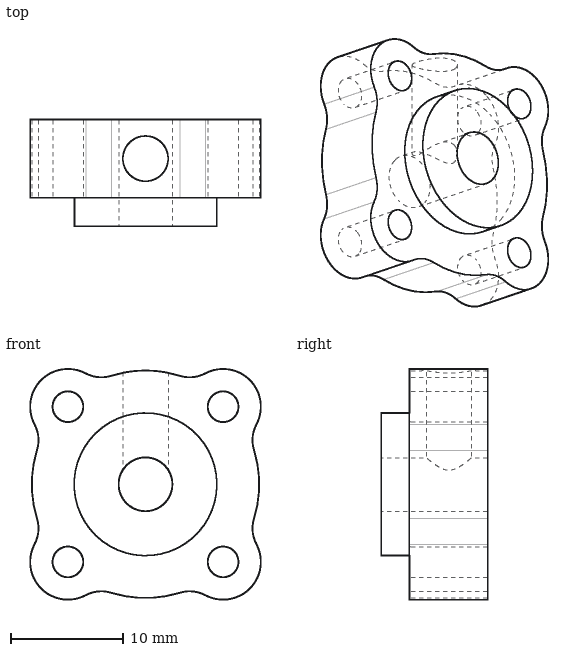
import cadquery as cq
import math

overall_width = 20.57
body_thickness = 7.0
hub_length = 2.53
hub_diameter = 12.71
bore_diameter = 4.77
body_radius = 10.15
blend_radius = 2.98
lobe_radius = 3.37
lobe_hole_diameter = 2.72
set_screw_diameter = 4.03

lobe_offset = overall_width / 2 - lobe_radius
lobe_distance = lobe_offset * math.sqrt(2)
lobe_angles = [45, 135, 225, 315]
lobe_centers = [(x, z) for x in (-lobe_offset, lobe_offset) for z in (-lobe_offset, lobe_offset)]

blend_distance = body_radius + blend_radius
blend_to_lobe = lobe_radius + blend_radius
blend_spread = math.degrees(math.acos(
    (blend_distance**2 + lobe_distance**2 - blend_to_lobe**2) / (2 * blend_distance * lobe_distance)
))


def polar(radius, angle):
    """Point at a radius and an angle in degrees about the bore axis."""
    return (radius * math.cos(math.radians(angle)), radius * math.sin(math.radians(angle)))


def toward(start, target, distance):
    """Point at a distance from start in the direction of target."""
    ratio = distance / math.dist(start, target)
    return tuple(s + (t - s) * ratio for s, t in zip(start, target))


def blend_points(lobe_angle, side):
    """Body end, middle and lobe end of the blend on one side (-1 or 1) of a lobe."""
    body_angle = lobe_angle + side * blend_spread
    center = polar(blend_distance, body_angle)
    body_end = polar(body_radius, body_angle)
    lobe_end = toward(center, polar(lobe_distance, lobe_angle), blend_radius)
    chord_middle = tuple((b + e) / 2 for b, e in zip(body_end, lobe_end))
    return body_end, toward(center, chord_middle, blend_radius), lobe_end


def front_plane():
    """Sketch plane on the hub side of the body, with its normal toward -Y."""
    return cq.Workplane("XZ")


def make_body():
    """Scalloped plate: lobe, blend, bulged side and blend, repeated four times."""
    outline = front_plane().moveTo(*blend_points(lobe_angles[0], -1)[0])
    for angle in lobe_angles:
        _, blend_in, lobe_start = blend_points(angle, -1)
        side_start, blend_out, lobe_end = blend_points(angle, 1)
        side_end = blend_points(angle + 90, -1)[0]
        outline = outline.threePointArc(blend_in, lobe_start)
        outline = outline.threePointArc(polar(lobe_distance + lobe_radius, angle), lobe_end)
        outline = outline.threePointArc(blend_out, side_start)
        outline = outline.threePointArc(polar(body_radius, angle + 45), side_end)
    return outline.close().extrude(-body_thickness)


def make_hub():
    return front_plane().circle(hub_diameter / 2).extrude(hub_length)


def make_bore():
    total_length = hub_length + body_thickness
    return front_plane().workplane(offset=hub_length).circle(bore_diameter / 2).extrude(-total_length)


def make_lobe_holes():
    return front_plane().pushPoints(lobe_centers).circle(lobe_hole_diameter / 2).extrude(-body_thickness)


def make_set_screw_hole():
    """Radial hole from the top side into the bore, midway through the body."""
    return (
        cq.Workplane("XY")
        .center(0, body_thickness / 2)
        .circle(set_screw_diameter / 2)
        .extrude(overall_width / 2)
    )


result = make_body().union(make_hub())
result = result.cut(make_bore()).cut(make_lobe_holes()).cut(make_set_screw_hole())